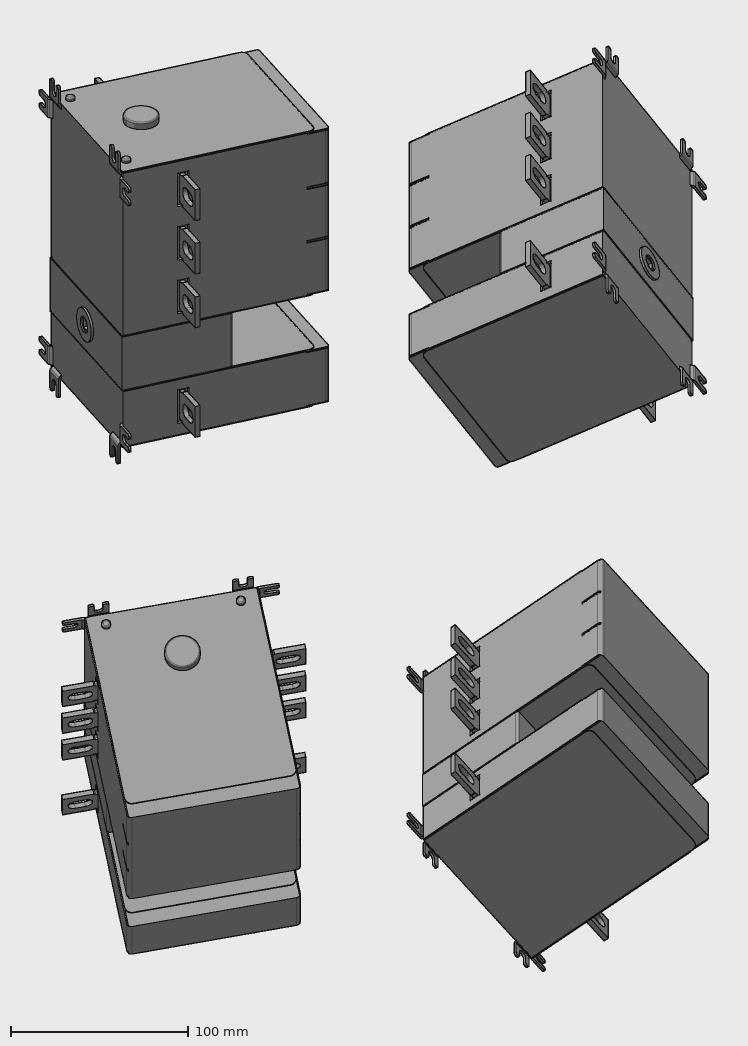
import cadquery as cq

TOTAL_WIDTH = 140.0
TOTAL_DEPTH = 129.9
TOTAL_HEIGHT = 202.0

BODY_WIDTH = 100.0
BODY_HEIGHT = 179.0
BODY_FRONT = 2.0
BACK_EDGE_RADIUS = 2.6
PITCH = 34.7
HALF_HEIGHT = BODY_HEIGHT / 2
DRIVE_Z = -PITCH
DRIVE_TOP = DRIVE_Z + PITCH / 2
DRIVE_BOTTOM = DRIVE_Z - PITCH / 2

PLATE_THICKNESS = 0.7
PLATE_INSET = 0.7
PLATE_BACK = 121.6
PLATE_CORNER_RADIUS = 4.0

GROOVE_WIDTH = 1.5
GROOVE_DEPTH = 0.7
GROOVE_FRONT = 116.0

LUG_TOP_Z = 70.3
LUG_HEIGHTS = (LUG_TOP_Z, LUG_TOP_Z - PITCH, LUG_TOP_Z - 2 * PITCH, -LUG_TOP_Z)
LUG_Y = 39.2
LUG_WIDTH = 20.0
LUG_THICKNESS = 3.0
LUG_SLOT_X = 59.8
LUG_SLOT_LENGTH = 14.1
LUG_SLOT_WIDTH = 8.3
LUG_BASE_GAP = 1.2
LUG_BASE_CHAMFER = 0.8
WINDOW_HEIGHT = 21.6
WINDOW_WIDTH = 6.9
WINDOW_DEPTH = 2.0

TAB_WIDTH = 12.0
TAB_THICKNESS = 1.5
TAB_FLAT_LENGTH = 12.7
TAB_BEND_LENGTH = 2.2
TAB_BEND_RADIUS = 2.0
TAB_SLOT_WIDTH = 5.0
TAB_SLOT_DEPTH = 8.9
TAB_TIP_RADIUS = 1.5
END_TAB_X = 41.6
SIDE_TAB_Z = 80.0
SIDE_TAB_TIP_X = 62.5

DRIVE_FRONT = 1.5
DRIVE_BACK = 69.9
DRIVE_EDGE_RADIUS = 1.6
DISC_RADIUS = 10.0
RECESS_RADIUS = 4.8
RECESS_DEPTH = 1.0
SOCKET_SIZE = 6.3
SHAFT_RADIUS = 7.9
SHAFT_BACK = 81.5
SHAFT_EDGE_RADIUS = 2.0

KNOB_RADIUS = 10.0
KNOB_HEIGHT = 4.5
KNOB_Y = 35.4
KNOB_EDGE_RADIUS = 0.8
SCREW_RADIUS = 2.6
SCREW_HEIGHT = 2.2
SCREW_X = 38.8
SCREW_Y = 8.9
SCREW_EDGE_RADIUS = 1.0


def block(width, front, back, bottom, top):
    """Box centred on X = 0 between two Y planes and two Z planes."""
    box = cq.Workplane("XY").box(width, back - front, top - bottom, centered=(True, False, False))
    return box.translate((0, front, bottom))


def cylinder_along_y(radius, front, back):
    """Cylinder on the drive axis between two Y planes."""
    disc = cq.Workplane("XZ", origin=(0, front, DRIVE_Z)).circle(radius)
    return disc.extrude(front - back)


def deep_block(bottom, top):
    """Pole housing with a thin inset plate on its bottom and top faces."""
    housing = block(BODY_WIDTH, BODY_FRONT, TOTAL_DEPTH, bottom + PLATE_THICKNESS, top - PLATE_THICKNESS)
    housing = housing.edges("|Z and >Y").fillet(BACK_EDGE_RADIUS)
    plates = block(BODY_WIDTH - 2 * PLATE_INSET, BODY_FRONT, PLATE_BACK, bottom, top)
    plates = plates.edges("|Z and >Y").fillet(PLATE_CORNER_RADIUS)
    return housing.union(plates)


def side_groove(side, bottom, top):
    """Cutter for the gap between two pole covers; side is -1 or 1."""
    cutter = block(2 * GROOVE_DEPTH, GROOVE_FRONT, TOTAL_DEPTH, bottom, top)
    return cutter.translate((side * BODY_WIDTH / 2, 0, 0))


def lug(side, z):
    """Slotted terminal plate with a chamfered root that runs on to the window floor."""
    side_x = BODY_WIDTH / 2
    base_x = side_x + LUG_BASE_GAP
    root_x = side_x - WINDOW_DEPTH
    length = TOTAL_WIDTH / 2 - base_x
    plate = cq.Workplane("XY").box(length, LUG_THICKNESS, LUG_WIDTH, centered=(False, True, True))
    plate = plate.translate((base_x, 0, 0)).edges("|Y and <X").chamfer(LUG_BASE_CHAMFER)
    neck_width = LUG_WIDTH - 2 * LUG_BASE_CHAMFER
    neck = cq.Workplane("XY").box(base_x - root_x, LUG_THICKNESS, neck_width, centered=(False, True, True))
    slot = cq.Workplane("XZ").center(LUG_SLOT_X, 0).slot2D(LUG_SLOT_LENGTH, LUG_SLOT_WIDTH)
    slot = slot.extrude(LUG_THICKNESS, both=True)
    whole = plate.union(neck.translate((root_x, 0, 0))).cut(slot)
    if side < 0:
        whole = whole.mirror("YZ")
    return whole.translate((0, LUG_Y, z))


def window(side, z):
    """Cutter for the rectangular recess around a lug."""
    cutter = cq.Workplane("XY").box(2 * WINDOW_DEPTH, WINDOW_WIDTH, WINDOW_HEIGHT)
    return cutter.translate((side * BODY_WIDTH / 2, LUG_Y, z))


def mounting_tab():
    """Forked tab pointing up: tip at Z = 0, with a foot that slopes back to the body front."""
    flat_end = -TAB_FLAT_LENGTH
    foot_end = flat_end - TAB_BEND_LENGTH
    profile = [
        (0, 0),
        (TAB_THICKNESS, 0),
        (TAB_THICKNESS, flat_end + TAB_THICKNESS),
        (BODY_FRONT, flat_end),
        (BODY_FRONT, foot_end),
        (0, flat_end),
    ]
    tab = cq.Workplane("YZ").polyline(profile).close().extrude(TAB_WIDTH / 2, both=True)
    tab = tab.faces("<Y").edges("<Z").fillet(TAB_BEND_RADIUS)
    slot_end = TAB_SLOT_WIDTH / 2 - TAB_SLOT_DEPTH
    slot = cq.Workplane("XZ").moveTo(-TAB_SLOT_WIDTH / 2, 0).lineTo(-TAB_SLOT_WIDTH / 2, slot_end)
    slot = slot.threePointArc((0, -TAB_SLOT_DEPTH), (TAB_SLOT_WIDTH / 2, slot_end))
    slot = slot.lineTo(TAB_SLOT_WIDTH / 2, 0).close().extrude(-TAB_THICKNESS)
    return tab.cut(slot).edges("|Y and >Z").fillet(TAB_TIP_RADIUS)


def build_body():
    """Both deep blocks, the drive block and the cover grooves."""
    drive = block(BODY_WIDTH, DRIVE_FRONT, DRIVE_BACK, DRIVE_BOTTOM, DRIVE_TOP)
    drive = drive.edges("|Z and >Y").fillet(DRIVE_EDGE_RADIUS)
    body = deep_block(DRIVE_TOP, HALF_HEIGHT).union(deep_block(-HALF_HEIGHT, DRIVE_BOTTOM)).union(drive)

    cover_gap = GROOVE_WIDTH / 2
    module_gaps = [LUG_TOP_Z - PITCH / 2, LUG_TOP_Z - 3 * PITCH / 2]
    gaps = [(z - cover_gap, z + cover_gap) for z in module_gaps]
    for bottom, top in ((DRIVE_TOP, HALF_HEIGHT), (-HALF_HEIGHT, DRIVE_BOTTOM)):
        gaps.append((bottom, bottom + PLATE_THICKNESS + cover_gap))
        gaps.append((top - PLATE_THICKNESS - cover_gap, top))
    for side in (-1, 1):
        for bottom, top in gaps:
            body = body.cut(side_groove(side, bottom, top))
    return body


def add_lugs(body):
    """Eight terminal lugs standing in their windows."""
    for side in (-1, 1):
        for z in LUG_HEIGHTS:
            body = body.cut(window(side, z)).union(lug(side, z))
    return body


def add_mounting_tabs(body):
    """Two tabs on each end and on each side, all lying along the front."""
    tab = mounting_tab()
    y_axis = ((0, 0, 0), (0, 1, 0))
    for side in (-1, 1):
        up = tab.translate((side * END_TAB_X, 0, TOTAL_HEIGHT / 2))
        sideways = tab.rotate(*y_axis, side * 90)
        body = body.union(up).union(up.mirror("XY"))
        for z in (-SIDE_TAB_Z, SIDE_TAB_Z):
            body = body.union(sideways.translate((side * SIDE_TAB_TIP_X, 0, z)))
    return body


def add_drive_parts(body):
    """Front disc and rear shaft, with the square socket passing through both."""
    disc = cylinder_along_y(DISC_RADIUS, 0, DRIVE_FRONT)
    shaft = cylinder_along_y(SHAFT_RADIUS, DRIVE_BACK, SHAFT_BACK).faces(">Y").edges().fillet(SHAFT_EDGE_RADIUS)
    recess = cylinder_along_y(RECESS_RADIUS, 0, RECESS_DEPTH)
    half_socket = SOCKET_SIZE / 2
    socket = block(SOCKET_SIZE, 0, SHAFT_BACK, DRIVE_Z - half_socket, DRIVE_Z + half_socket)
    return body.union(disc).union(shaft).cut(recess).cut(socket)


def add_top_parts(body):
    """Round knob and two screw heads on the top face."""
    top = cq.Workplane("XY", origin=(0, 0, HALF_HEIGHT))
    knob = top.center(0, KNOB_Y).circle(KNOB_RADIUS).extrude(KNOB_HEIGHT)
    body = body.union(knob.faces(">Z").edges().fillet(KNOB_EDGE_RADIUS))
    for x in (-SCREW_X, SCREW_X):
        screw = top.center(x, SCREW_Y).circle(SCREW_RADIUS).extrude(SCREW_HEIGHT)
        body = body.union(screw.faces(">Z").edges().fillet(SCREW_EDGE_RADIUS))
    return body


result = add_top_parts(add_drive_parts(add_mounting_tabs(add_lugs(build_body()))))